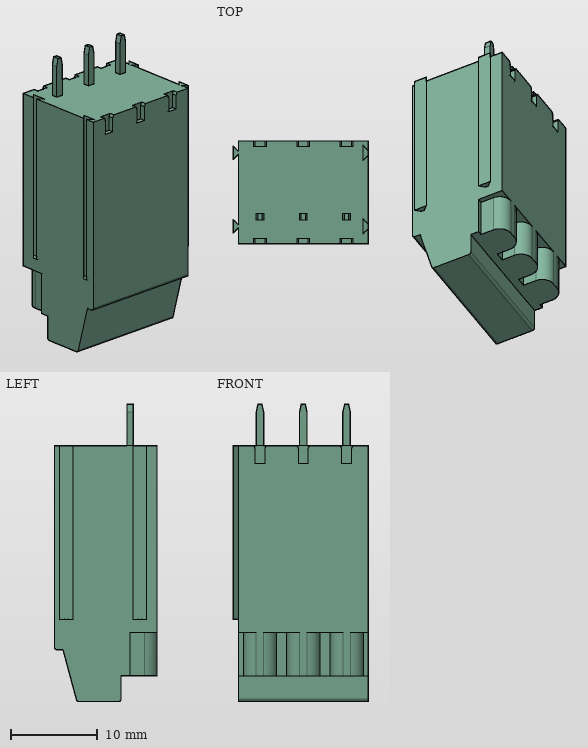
import cadquery as cq

total_height = 34.35
total_width = 15.6
depth = 11.9
pole_count = 3
rail_height = 0.6
width = total_width - rail_height
pitch = width / pole_count
pole_x = [pitch * (i + 0.5) for i in range(pole_count)]

pin_length = 4.77
housing_top = total_height - pin_length
rear_underside_z = 5.98
front_underside_z = 8.0
step_z = 3.0
base_front_y = 4.15
base_rear_y = 9.27
slope_top_y = 10.9
recess_wall_y = 3.13
edge_radius = 0.3

socket_width = 3.85
socket_corner_diameter = 3.0

pin_width = 0.9
pin_thickness = 0.75
pin_y = 3.13
pin_tip_width = 0.48
pin_taper_length = 0.93

dovetail_length = 20.05
dovetail_y = [2.03, 10.5]
rail_outer_width = 1.58
groove_clearance = 0.05
groove_depth = rail_height + groove_clearance
groove_inner_width = rail_outer_width + 4 * groove_clearance

notch_width = 1.15
notch_height = 2.05
notch_depth = 0.62
notch_flare = 0.17
notch_flare_height = 0.35


def make_housing():
    """Side profile extruded across the full width, with its lower edges rounded."""
    profile = [
        (0, housing_top),
        (0, front_underside_z),
        (recess_wall_y, front_underside_z),
        (recess_wall_y, step_z),
        (base_front_y, step_z),
        (base_front_y, 0),
        (base_rear_y, 0),
        (slope_top_y, rear_underside_z),
        (depth, rear_underside_z),
        (depth, housing_top),
    ]
    rounded_corners = [(base_front_y, 0), (base_rear_y, 0), (depth, rear_underside_z)]
    housing = cq.Workplane("YZ").polyline(profile).close().extrude(width)
    for y, z in rounded_corners:
        corner_edge = cq.selectors.NearestToPointSelector((width / 2, y, z))
        housing = housing.edges("|X").edges(corner_edge).fillet(edge_radius)
    return housing


def make_socket(x):
    """Block under the front overhang with its two front corners rounded."""
    return (
        cq.Workplane("XY", origin=(x, recess_wall_y / 2, step_z))
        .rect(socket_width, recess_wall_y)
        .extrude(front_underside_z - step_z)
        .edges("|Z and <Y")
        .fillet(socket_corner_diameter / 2)
    )


def make_pin(x):
    """Flat pin whose tip narrows in X only."""
    taper_start_z = total_height - pin_taper_length
    outline = [
        (x - pin_width / 2, housing_top),
        (x + pin_width / 2, housing_top),
        (x + pin_width / 2, taper_start_z),
        (x + pin_tip_width / 2, total_height),
        (x - pin_tip_width / 2, total_height),
        (x - pin_width / 2, taper_start_z),
    ]
    pin_rear_y = pin_y + pin_thickness / 2
    return cq.Workplane("XZ", origin=(0, pin_rear_y, 0)).polyline(outline).close().extrude(pin_thickness)


def make_dovetail(wide_x, y, wide_width, dovetail_depth):
    """Vertical bar with 45 degree flanks, wide at wide_x and narrowing toward +X."""
    narrow_width = wide_width - 2 * dovetail_depth
    narrow_x = wide_x + dovetail_depth
    outline = [
        (wide_x, y - wide_width / 2),
        (narrow_x, y - narrow_width / 2),
        (narrow_x, y + narrow_width / 2),
        (wide_x, y + wide_width / 2),
    ]
    bottom_z = housing_top - dovetail_length
    return cq.Workplane("XY", origin=(0, 0, bottom_z)).polyline(outline).close().extrude(dovetail_length)


def make_notch(x, rear_y):
    """Cutter for one top edge notch, flared at its mouth."""
    flare_z = housing_top - notch_flare_height
    bottom_z = housing_top - notch_height
    half_width = notch_width / 2
    half_mouth = half_width + notch_flare
    outline = [
        (x - half_width, bottom_z),
        (x + half_width, bottom_z),
        (x + half_width, flare_z),
        (x + half_mouth, housing_top),
        (x - half_mouth, housing_top),
        (x - half_width, flare_z),
    ]
    return cq.Workplane("XZ", origin=(0, rear_y, 0)).polyline(outline).close().extrude(notch_depth)


result = make_housing()

for x in pole_x:
    result = result.union(make_socket(x)).union(make_pin(x))
    for rear_y in (notch_depth, depth):
        result = result.cut(make_notch(x, rear_y))

for y in dovetail_y:
    result = result.union(make_dovetail(-rail_height, y, rail_outer_width, rail_height))
    result = result.cut(make_dovetail(width - groove_depth, y, groove_inner_width, groove_depth))